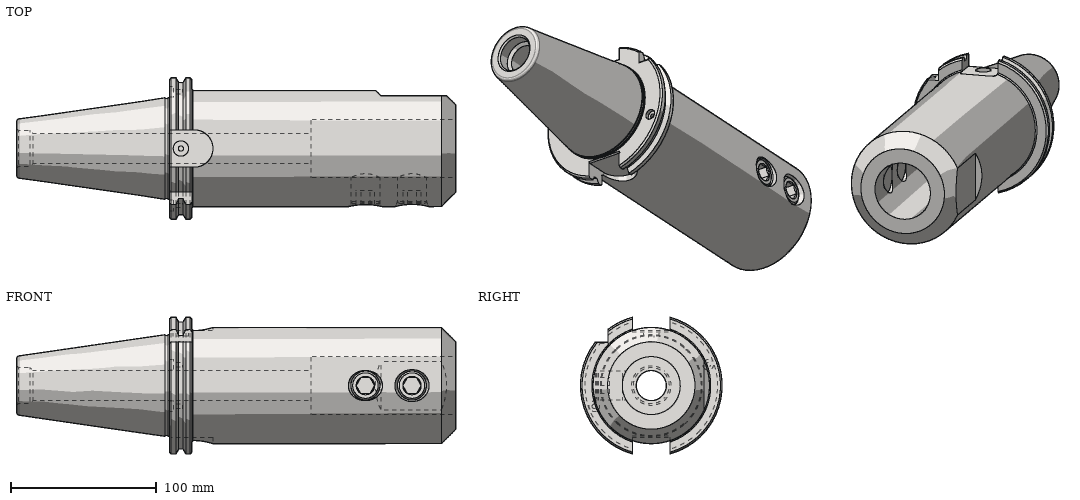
import cadquery as cq
import math

total_length = 301.8
gauge_x = 102.0
flange_front_x = 105.0
flange_back_x = 120.5

taper_small_radius = 20.2
taper_large_radius = 35.0
taper_end_fillet = 2.0
flange_diameter = 97.5
flange_radius = flange_diameter / 2
flange_chamfer = 1.2
body_diameter = 80.0
body_radius = body_diameter / 2
neck_bevel = 1.0
relief_groove_radius = 34.5
relief_groove_end = 104.0
nose_chamfer = 10.0

groove_x = 113.0
groove_floor_radius = 45.5
groove_floor_width = 3.0
groove_flank_angle = 30.0

bore_mouth_radius = 13.5
pilot_radius = 12.5
pilot_depth = 9.0
thread_radius = 10.3
shank_radius = 20.0
shank_depth = 99.5

slot_width = 25.5
slot_end_x = 135.0
upper_slot_floor = 37.7
lower_slot_floor = 35.5
notch_corner = 30.0
floor_chamfer = 1.0

slot_hole_diameter = 10.5
slot_hole_depth = 3.5
slot_drill_radius = 1.8
slot_drill_depth = 7.5

coolant_circle_radius = 41.5
coolant_angle = 20.0
coolant_radius = 3.5
coolant_depth = 2.7
coolant_drill_radius = 1.5
coolant_drill_depth = 9.0

flat_depth = 3.5
flat_y = body_radius - flat_depth
flat_start_x = 246.5

screw_positions = (239.5, 271.5)
countersink_depths = (1.8, 3.5)
screw_radius = 10.0
countersink_radius = 11.8
screw_face_y = -37.7
screw_chamfer = 1.2
socket_chamfer = 1.0
socket_radius = 6.3
socket_depth = 9.0


def turned_blank():
    """Taper, flange and body as one revolved profile."""
    flange_chamfer_radius = flange_radius - flange_chamfer
    return (
        cq.Workplane("XZ")
        .polyline([
            (0, 0),
            (0, taper_small_radius),
            (gauge_x, taper_large_radius),
            (gauge_x, relief_groove_radius),
            (relief_groove_end, relief_groove_radius),
            (relief_groove_end, taper_large_radius),
            (flange_front_x, taper_large_radius),
            (flange_front_x, flange_chamfer_radius),
            (flange_front_x + flange_chamfer, flange_radius),
            (flange_back_x - flange_chamfer, flange_radius),
            (flange_back_x, flange_chamfer_radius),
            (flange_back_x, body_radius + neck_bevel),
            (flange_back_x + neck_bevel, body_radius),
            (total_length - nose_chamfer, body_radius),
            (total_length, body_radius - nose_chamfer),
            (total_length, 0),
        ])
        .close()
        .revolve(360, (0, 0, 0), (1, 0, 0))
    )


def gripper_groove():
    """Ring with a flat floor and sloping flanks, cut out of the flange rim."""
    half_floor = groove_floor_width / 2
    depth = flange_radius - groove_floor_radius
    half_mouth = half_floor + depth * math.tan(math.radians(groove_flank_angle))
    return (
        cq.Workplane("XZ")
        .polyline([
            (groove_x - half_floor, groove_floor_radius),
            (groove_x + half_floor, groove_floor_radius),
            (groove_x + half_mouth, flange_radius),
            (groove_x - half_mouth, flange_radius),
        ])
        .close()
        .revolve(360, (0, 0, 0), (1, 0, 0))
    )


def stepped_bore():
    mouth_chamfer = bore_mouth_radius - pilot_radius
    thread_chamfer = pilot_radius - thread_radius
    return (
        cq.Workplane("XZ")
        .polyline([
            (0, 0),
            (0, bore_mouth_radius),
            (mouth_chamfer, pilot_radius),
            (pilot_depth, pilot_radius),
            (pilot_depth + thread_chamfer, thread_radius),
            (total_length - shank_depth, thread_radius),
            (total_length - shank_depth, shank_radius),
            (total_length, shank_radius),
            (total_length, 0),
        ])
        .close()
        .revolve(360, (0, 0, 0), (1, 0, 0))
    )


def floor_bevel(y_start, y_end, floor):
    """Wedge that bevels the front edge of a flat floor at z = floor."""
    return (
        cq.Workplane("XZ", origin=(0, y_start, 0))
        .polyline([
            (flange_front_x, floor - floor_chamfer),
            (flange_front_x + floor_chamfer, floor),
            (flange_front_x, floor),
        ])
        .close()
        .extrude(y_start - y_end)
    )


def drive_slot(floor):
    """Round-ended slot, open towards the taper, cut above z = floor."""
    half_width = slot_width / 2
    slot = (
        cq.Workplane("XY", origin=(0, 0, floor))
        .moveTo(flange_front_x, -half_width)
        .lineTo(slot_end_x - half_width, -half_width)
        .threePointArc((slot_end_x, 0), (slot_end_x - half_width, half_width))
        .lineTo(flange_front_x, half_width)
        .close()
        .extrude(flange_radius - floor)
    )
    return slot.union(floor_bevel(-half_width, half_width, floor))


def orientation_notch():
    """Square corner cut from the flange on the -Y, +Z side."""
    size = flange_radius - notch_corner
    notch = (
        cq.Workplane("XY", origin=(flange_front_x, -flange_radius, notch_corner))
        .box(flange_back_x - flange_front_x, size, size, centered=False)
    )
    return notch.union(floor_bevel(-flange_radius, -notch_corner, notch_corner))


def slot_hole():
    floor = cq.Workplane("XY", origin=(groove_x, 0, upper_slot_floor))
    counterbore = floor.circle(slot_hole_diameter / 2).extrude(-slot_hole_depth)
    drill = floor.circle(slot_drill_radius).extrude(-slot_drill_depth)
    return counterbore.union(drill)


def coolant_holes():
    """Two opposite stepped holes in the front face of the flange."""
    centres = (
        cq.Workplane("YZ", origin=(flange_front_x, 0, 0))
        .polarArray(coolant_circle_radius, coolant_angle, 360, 2)
    )
    counterbores = centres.circle(coolant_radius).extrude(coolant_depth)
    drills = centres.circle(coolant_drill_radius).extrude(coolant_drill_depth)
    return counterbores.union(drills)


def relief_flat():
    """Flat that starts with a 45 degree ramp and runs out at the nose."""
    return (
        cq.Workplane("XY")
        .polyline([
            (flat_start_x, body_radius),
            (flat_start_x + flat_depth, flat_y),
            (total_length, flat_y),
            (total_length, body_radius),
        ])
        .close()
        .extrude(body_radius, both=True)
    )


def screw_hole(x, countersink_depth):
    """Countersunk hole from the body surface into the shank bore."""
    outer_face = cq.Workplane("XZ", origin=(x, -body_radius, 0))
    hole = outer_face.circle(screw_radius).extrude(-body_radius)
    countersink = cq.Workplane(cq.Solid.makeCone(
        countersink_radius, screw_radius, countersink_depth,
        cq.Vector(x, -body_radius, 0), cq.Vector(0, 1, 0)))
    return hole.union(countersink)


def build_holder():
    holder = turned_blank().faces("<X").edges().fillet(taper_end_fillet)
    holder = holder.cut(gripper_groove()).cut(stepped_bore())
    holder = holder.cut(drive_slot(upper_slot_floor))
    holder = holder.cut(drive_slot(lower_slot_floor).mirror("XY"))
    holder = holder.cut(orientation_notch()).cut(slot_hole()).cut(coolant_holes()).cut(relief_flat())
    for x, countersink_depth in zip(screw_positions, countersink_depths):
        holder = holder.cut(screw_hole(x, countersink_depth))
    return holder


def build_screw(x):
    """Set screw with a chamfered outer end and a countersunk hexagon socket."""
    length = -shank_radius - screw_face_y
    outer_face = cq.Workplane("XZ", origin=(x, screw_face_y, 0))
    shank = outer_face.circle(screw_radius).extrude(-length).faces("<Y").chamfer(screw_chamfer)
    socket = outer_face.polygon(6, 2 * socket_radius).extrude(-socket_depth)
    mouth = cq.Workplane(cq.Solid.makeCone(
        socket_radius, socket_radius - socket_chamfer, socket_chamfer,
        cq.Vector(x, screw_face_y, 0), cq.Vector(0, 1, 0)))
    return shank.cut(socket).cut(mouth)


holder = build_holder()
screws = [build_screw(x) for x in screw_positions]

result = cq.Compound.makeCompound([holder.val(), *[screw.val() for screw in screws]])